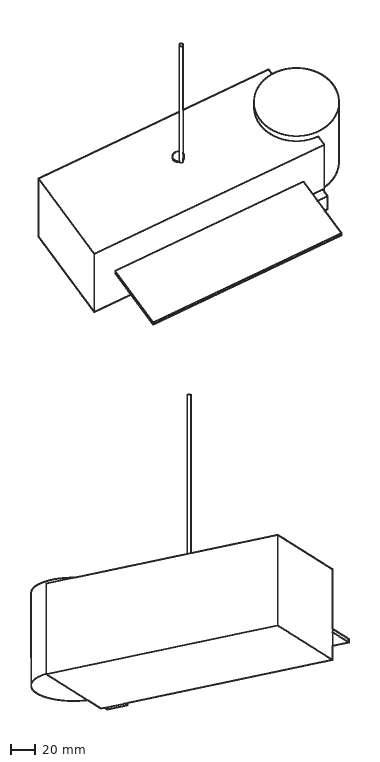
import cadquery as cq

overall_length = 255
body_width = 90.0
body_height = 80.0

drum_diameter = 70.0
body_length = overall_length - drum_diameter / 2
drum_bottom = 5.0
drum_top = 87.0

shelf_width = 61.5
shelf_length = 180.0
shelf_thickness = 3.0
shelf_front = 20.0
shelf_bottom = 40.0

block_width = 8.0
block_length = 19.0
block_height = 18.0
block_rear_gap = 1.5
block_bottom = 1.5

foot_diameter = 10.0
foot_height = 1.5
foot_x = 40.0
rod_diameter = 3.3
rod_offset = 4.5
rod_top = 240.0
antenna_y = body_length / 2


def box(x, y, z, width, length, height):
    """Box placed by its lowest corner."""
    return cq.Workplane("XY").box(width, length, height, centered=False).translate((x, y, z))


def upright_cylinder(x, y, bottom, top, diameter):
    """Vertical cylinder between two heights."""
    return cq.Workplane("XY", origin=(x, y, bottom)).circle(diameter / 2).extrude(top - bottom)


body = box(0, 0, 0, body_width, body_length, body_height)

drum = upright_cylinder(body_width / 2, body_length, drum_bottom, drum_top, drum_diameter)

shelf = box(body_width, shelf_front, shelf_bottom, shelf_width, shelf_length, shelf_thickness)

block_front = body_length - block_rear_gap - block_length
block = box(body_width, block_front, block_bottom, block_width, block_length, block_height)

foot = upright_cylinder(foot_x, antenna_y, body_height, body_height + foot_height, foot_diameter)
rod = upright_cylinder(foot_x + rod_offset, antenna_y, body_height, rod_top, rod_diameter)

result = body.union(drum).union(shelf).union(block).union(foot).union(rod)